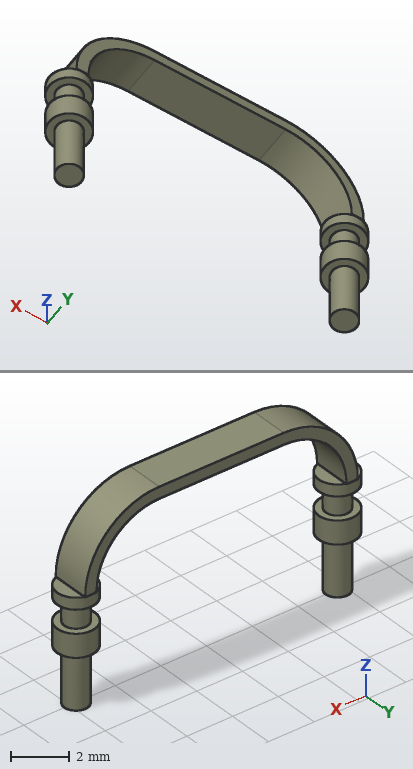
import cadquery as cq

post_spacing = 11.43
pin_diameter = 1.02
collar_diameter = 1.65
pin_length = 2.4
lower_collar_height = 1.0
neck_height = 1.0
upper_collar_height = 0.5

strap_width = collar_diameter
strap_thickness = 0.5
bend_outer_radius = 3.25

post_height = pin_length + lower_collar_height + neck_height + upper_collar_height


def make_post(x):
    """Stack the pin, lower collar, neck and upper collar from Z = 0 upward."""
    sections = [
        (pin_diameter, pin_length),
        (collar_diameter, lower_collar_height),
        (pin_diameter, neck_height),
        (collar_diameter, upper_collar_height),
    ]
    post = cq.Workplane("XY")
    base = 0
    for diameter, height in sections:
        section = cq.Workplane("XY", origin=(x, 0, base)).circle(diameter / 2).extrude(height)
        post = post.add(section)
        base += height
    return post.combine()


def arch_profile(half_span, radius):
    """Closed arch standing on the posts, with a quarter-circle bend on each side."""
    flat_half = half_span - radius
    return (
        cq.Workplane("XZ")
        .moveTo(-half_span, post_height)
        .radiusArc((-flat_half, post_height + radius), radius)
        .lineTo(flat_half, post_height + radius)
        .radiusArc((half_span, post_height), radius)
        .close()
    )


def make_strap():
    """Flat strap of constant thickness, centred over the post axes."""
    outer_half_span = (post_spacing + strap_thickness) / 2
    inner_half_span = outer_half_span - strap_thickness
    bend_inner_radius = bend_outer_radius - strap_thickness
    outer = arch_profile(outer_half_span, bend_outer_radius).extrude(strap_width / 2, both=True)
    inner = arch_profile(inner_half_span, bend_inner_radius).extrude(strap_width / 2, both=True)
    return outer.cut(inner)


result = make_strap()
for side in (-1, 1):
    result = result.union(make_post(side * post_spacing / 2))